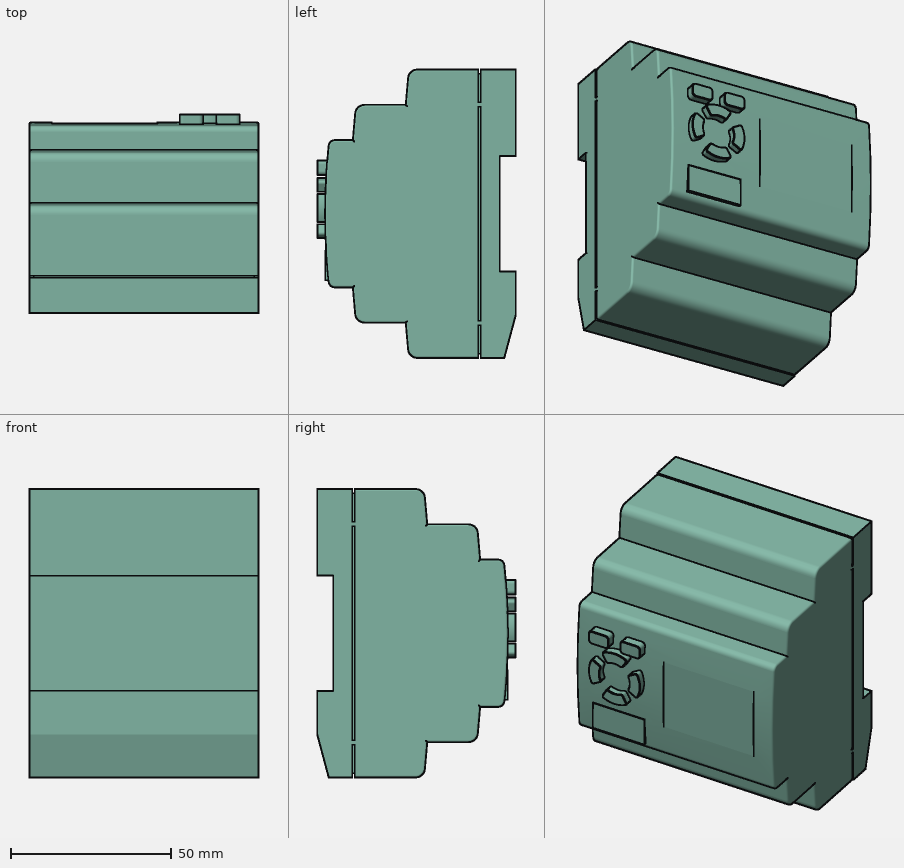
import cadquery as cq
import math

WIDTH = 71.5
HEIGHT = 90.0
DEPTH = 62.02

BASE_DEPTH = 11.0
RAIL_HEIGHT = 36.0
RAIL_DEPTH = 5.0
BASE_TAPER_HEIGHT = 13.5
BASE_TAPER_ANGLE = 15.0

GAP_WIDTH = 0.7
GAP_DEPTH = 1.3
TAB_HEIGHT = 1.4
TAB_Z = 34.1

STEP_HEIGHT = 11.0
NOSE_HALF_HEIGHT = HEIGHT / 2 - 2 * STEP_HEIGHT
LOWER_ROOT_Y = 34.4
UPPER_ROOT_Y = 50.9
STEP_DRAFT = 5.0
STEP_FILLET = 3.0
NOSE_EDGE_Y = 58.25
NOSE_CROWN_Y = 59.55
NOSE_FILLET = 2.0
SIDE_EDGE_FILLET = 0.7

WINDOW_X_MIN = -28.7
WINDOW_X_MAX = 4.2
WINDOW_FLOOR_Y = 59.2

KEYPAD_X = 20.5
RING_Z = 1.8
RING_OUTER_RADIUS = 9.4
RING_INNER_RADIUS = 5.5
ARROW_HALF_ANGLE = 30.0
ARROW_FILLET = 0.8
KEY_WIDTH = 7.3
KEY_HEIGHT = 4.6
KEY_Z = 14.35
KEY_FILLET = 1.25
KEY_EDGE_CHAMFER = 0.2
KEY_ROOT_Y = 57.0

COVER_WIDTH = 2 * RING_OUTER_RADIUS
COVER_TOP_Z = -11.6
COVER_BOTTOM_Z = -20.8
COVER_FACE_Y = 59.5


def box(x_min, x_max, y_min, y_max, z_min, z_max):
    size = (x_max - x_min, y_max - y_min, z_max - z_min)
    return cq.Workplane("XY").box(*size, centered=False).translate((x_min, y_min, z_min))


def extrude_across_width(profile):
    """Extrude a YZ profile over the full width, centred on X = 0."""
    return profile.extrude(WIDTH / 2, both=True)


def make_base():
    half = HEIGHT / 2
    taper_depth = BASE_TAPER_HEIGHT * math.tan(math.radians(BASE_TAPER_ANGLE))
    profile = (
        cq.Workplane("YZ")
        .moveTo(BASE_DEPTH, half)
        .lineTo(0, half)
        .lineTo(0, RAIL_HEIGHT / 2)
        .lineTo(RAIL_DEPTH, RAIL_HEIGHT / 2)
        .lineTo(RAIL_DEPTH, -RAIL_HEIGHT / 2)
        .lineTo(0, -RAIL_HEIGHT / 2)
        .lineTo(0, BASE_TAPER_HEIGHT - half)
        .lineTo(taper_depth, -half)
        .lineTo(BASE_DEPTH, -half)
        .close()
    )
    return extrude_across_width(profile)


def make_gap_core():
    y_end = BASE_DEPTH + GAP_WIDTH
    x_core = WIDTH / 2 - GAP_DEPTH
    z_core = HEIGHT / 2 - GAP_DEPTH
    core = box(-x_core, x_core, BASE_DEPTH, y_end, -z_core, z_core)
    for z in (-TAB_Z, TAB_Z):
        z_min = z - TAB_HEIGHT / 2
        tab = box(-WIDTH / 2, WIDTH / 2, BASE_DEPTH, y_end, z_min, z_min + TAB_HEIGHT)
        core = core.union(tab)
    return core


def round_step_edges(body, y, z, radius):
    """Round the pair of full-width edges at depth y and heights +z and -z."""
    for height in (-z, z):
        edge = body.edges(cq.selectors.NearestToPointSelector((0, y, height)))
        body = edge.fillet(radius)
    return body


def make_housing():
    half = HEIGHT / 2
    middle = half - STEP_HEIGHT
    nose = NOSE_HALF_HEIGHT
    back = BASE_DEPTH + GAP_WIDTH
    draft = STEP_HEIGHT * math.tan(math.radians(STEP_DRAFT))
    profile = (
        cq.Workplane("YZ")
        .moveTo(back, -half)
        .lineTo(LOWER_ROOT_Y - draft, -half)
        .lineTo(LOWER_ROOT_Y, -middle)
        .lineTo(UPPER_ROOT_Y - draft, -middle)
        .lineTo(UPPER_ROOT_Y, -nose)
        .lineTo(NOSE_EDGE_Y, -nose)
        .threePointArc((NOSE_CROWN_Y, 0), (NOSE_EDGE_Y, nose))
        .lineTo(UPPER_ROOT_Y, nose)
        .lineTo(UPPER_ROOT_Y - draft, middle)
        .lineTo(LOWER_ROOT_Y, middle)
        .lineTo(LOWER_ROOT_Y - draft, half)
        .lineTo(back, half)
        .close()
    )
    housing = extrude_across_width(profile)
    housing = round_step_edges(housing, LOWER_ROOT_Y - draft, half, STEP_FILLET)
    housing = round_step_edges(housing, UPPER_ROOT_Y - draft, middle, STEP_FILLET)
    housing = round_step_edges(housing, NOSE_EDGE_Y, nose, NOSE_FILLET)
    side_outline = housing.faces("<X or >X").edges("not <Y")
    return housing.newObject(side_outline.vals()).fillet(SIDE_EDGE_FILLET)


def cut_window(body):
    window = box(
        WINDOW_X_MIN, WINDOW_X_MAX, WINDOW_FLOOR_Y, NOSE_CROWN_Y, -NOSE_HALF_HEIGHT, NOSE_HALF_HEIGHT
    )
    return body.cut(window)


def raise_key(outline, corner_fillet):
    """Extrude a key outline drawn on the key root plane (local x = -X) out to the full depth."""
    key = outline.extrude(DEPTH - KEY_ROOT_Y).edges("|Y").fillet(corner_fillet)
    return key.faces(">Y").chamfer(KEY_EDGE_CHAMFER)


def key_plane(x, z):
    return cq.Workplane(cq.Plane(origin=(x, KEY_ROOT_Y, z), xDir=(-1, 0, 0), normal=(0, 1, 0)))


def ring_point(radius, degrees):
    angle = math.radians(degrees)
    return (radius * math.cos(angle), radius * math.sin(angle))


def make_arrow_key(direction):
    start = direction - ARROW_HALF_ANGLE
    end = direction + ARROW_HALF_ANGLE
    outline = (
        key_plane(KEYPAD_X, RING_Z)
        .moveTo(*ring_point(RING_OUTER_RADIUS, start))
        .threePointArc(ring_point(RING_OUTER_RADIUS, direction), ring_point(RING_OUTER_RADIUS, end))
        .lineTo(*ring_point(RING_INNER_RADIUS, end))
        .threePointArc(ring_point(RING_INNER_RADIUS, direction), ring_point(RING_INNER_RADIUS, start))
        .close()
    )
    return raise_key(outline, ARROW_FILLET)


def make_rectangular_key(side):
    x = KEYPAD_X + side * (RING_OUTER_RADIUS - KEY_WIDTH / 2)
    return raise_key(key_plane(x, KEY_Z).rect(KEY_WIDTH, KEY_HEIGHT), KEY_FILLET)


def make_cover():
    x_min = KEYPAD_X - COVER_WIDTH / 2
    return box(x_min, x_min + COVER_WIDTH, KEY_ROOT_Y, COVER_FACE_Y, COVER_BOTTOM_Z, COVER_TOP_Z)


result = make_base().union(make_gap_core()).union(cut_window(make_housing()))
for direction in (0, 90, 180, 270):
    result = result.union(make_arrow_key(direction))
for side in (-1, 1):
    result = result.union(make_rectangular_key(side))
result = result.union(make_cover())